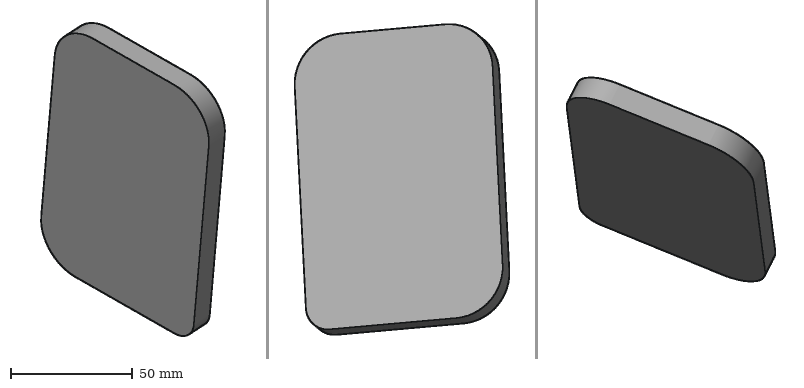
import cadquery as cq
import math

heading = 28
lean = 4
thickness = 10
width = 85.0
overall_height = 125.4
large_radius = 20
small_radius = 10

along = cq.Vector(math.cos(math.radians(heading)), math.sin(math.radians(heading)), 0)
upright = cq.Vector(0, math.sin(math.radians(lean)), math.cos(math.radians(lean)))
outward = along.cross(upright).normalized()
height = (overall_height - thickness * abs(outward.z)) / upright.z
face = cq.Plane(origin=(0, 0, 0), xDir=along, normal=outward)

rise = upright.dot(face.yDir) * height
shift = upright.dot(along) * height
plate = (
    cq.Workplane(face)
    .polyline([(0, 0), (width, 0), (width + shift, rise), (shift, rise)])
    .close()
    .extrude(-thickness)
)


def corner_edge(across, up):
    """Select the thickness edge at a corner given as fractions of width and height."""
    x = across * width + up * shift
    point = face.toWorldCoords((x, up * rise, -thickness / 2))
    return cq.selectors.NearestToPointSelector(point.toTuple())


corners = [
    (0, 0, large_radius),
    (1, 0, small_radius),
    (1, 1, large_radius),
    (0, 1, large_radius),
]
for across, up, radius in corners:
    plate = plate.edges(corner_edge(across, up)).fillet(radius)

result = plate